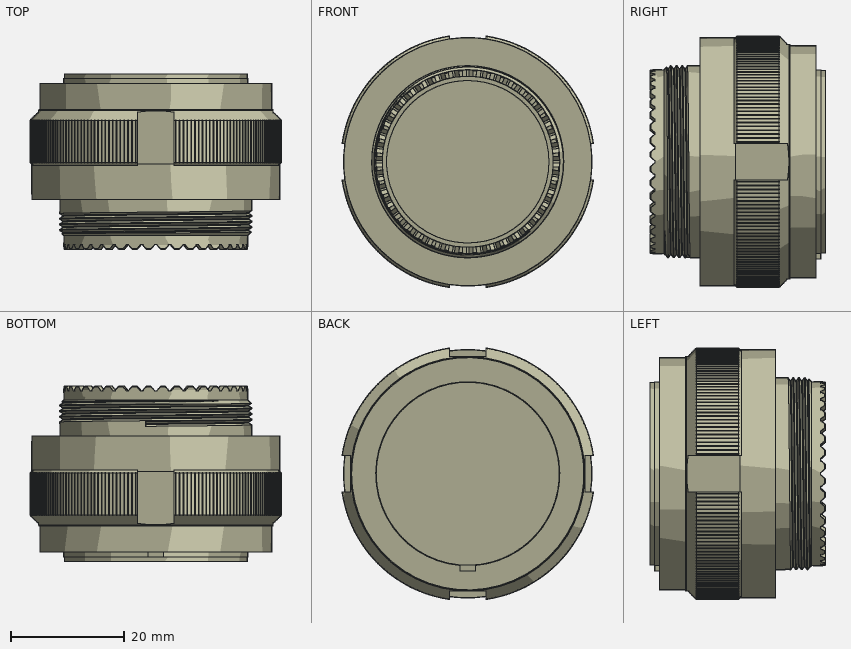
import cadquery as cq
import math


nose_radius = 16.25
nose_chamfer = 0.18
tooth_inner_radius = 15.1
recess_depth = 2.0
disc_radius = 14.35
tooth_count = 40
tooth_depth = 0.85
tooth_gap_at_tip = 1.85
tooth_gap_at_root = 0.35

neck_radius = 16.98
thread_front = 2.45
thread_back = 6.7
thread_pitch = 1.0
thread_depth = 0.5
thread_gap_at_crest = 0.85
thread_gap_at_root = 0.18

sleeve_front = 8.8
sleeve_radius = 21.95
knurl_front = 15.38
knurl_back = 22.85
flat_front = 15.15
flat_count = 4
flat_width = 6.45
flat_distance = 20.75
overall_width = 44.45
lip_radius = 20.7
lip_back = 24.75

collar_radius = 20.55
collar_back = 29.37
disc_step = 30.2
overall_length = 31.0
base_disc_radius = 16.25
end_disc_radius = 16.18
key_width = 2.65
key_reach = 17.2

knurl_count = 200
knurl_groove_width = 0.15
knurl_groove_depth = 0.1

nut_radius = math.hypot(overall_width / 2, flat_width / 2)


def turned(profile):
    """Revolve a closed (radius, y) profile about the Y axis."""
    return cq.Workplane("XY").polyline(profile).close().revolve(360, (0, 0, 0), (0, 1, 0))


def cylinder(radius, front, back):
    """Solid cylinder along Y."""
    return cq.Workplane("XZ", origin=(0, front, 0)).circle(radius).extrude(front - back)


def make_nose():
    """Front spigot with a ring of crown teeth around a slightly sunk central disc."""
    nose = cylinder(nose_radius, 0, sleeve_front).faces("<Y").chamfer(nose_chamfer)
    nose = nose.cut(cylinder(tooth_inner_radius, 0, recess_depth))
    nose = nose.union(cylinder(disc_radius, tooth_depth, sleeve_front))
    gap = (
        cq.Workplane("XY", origin=(0, 0, disc_radius))
        .polyline([
            (-tooth_gap_at_tip / 2, 0),
            (-tooth_gap_at_root / 2, tooth_depth),
            (tooth_gap_at_root / 2, tooth_depth),
            (tooth_gap_at_tip / 2, 0),
        ])
        .close()
        .extrude(neck_radius - disc_radius)
    )
    ring = cylinder(neck_radius, 0, tooth_depth).cut(cylinder(tooth_inner_radius, 0, tooth_depth))
    gap = gap.intersect(ring).val()
    gaps = [
        gap.rotate((0, 0, 0), (0, 1, 0), index * 360 / tooth_count)
        for index in range(tooth_count)
    ]
    return nose.cut(cq.Workplane(obj=cq.Compound.makeCompound(gaps)))


def make_neck():
    """Neck with a right-handed thread and a bevelled front edge."""
    bevel = neck_radius - nose_radius
    neck = turned([
        (0, thread_front),
        (nose_radius, thread_front),
        (neck_radius, thread_front + bevel),
        (neck_radius, sleeve_front),
        (0, sleeve_front),
    ])
    helix_start = thread_front - thread_pitch
    helix = cq.Wire.makeHelix(thread_pitch, thread_back - helix_start, neck_radius)
    overlap = 0.1
    flank_slope = (thread_gap_at_crest - thread_gap_at_root) / 2 / thread_depth
    outer_half_gap = thread_gap_at_crest / 2 + overlap * flank_slope
    cutter = (
        cq.Workplane("XZ")
        .polyline([
            (neck_radius - thread_depth, -thread_gap_at_root / 2),
            (neck_radius - thread_depth, thread_gap_at_root / 2),
            (neck_radius + overlap, outer_half_gap),
            (neck_radius + overlap, -outer_half_gap),
        ])
        .close()
        .sweep(cq.Workplane(obj=helix), isFrenet=True)
        .rotate((0, 0, 0), (1, 0, 0), -90)
        .translate((0, helix_start, 0))
    )
    return neck.cut(cutter)


def knurled_bar():
    """Bar along Y with the nut's radius and V grooves all around it."""
    pitch = 2 * math.pi / knurl_count
    half_groove = knurl_groove_width / 2 / nut_radius

    def at(radius, angle):
        return (radius * math.cos(angle), radius * math.sin(angle))

    outline = cq.Workplane("XZ", origin=(0, sleeve_front, 0)).moveTo(*at(nut_radius, -half_groove))
    for index in range(knurl_count):
        angle = index * pitch
        outline = outline.lineTo(*at(nut_radius - knurl_groove_depth, angle))
        outline = outline.lineTo(*at(nut_radius, angle + half_groove))
        outline = outline.threePointArc(
            at(nut_radius, angle + pitch / 2), at(nut_radius, angle + pitch - half_groove)
        )
    return outline.close().extrude(sleeve_front - collar_back)


def make_nut():
    """Knurled coupling nut with 45 degree shoulders and four flats."""
    nut_front = knurl_front - (nut_radius - sleeve_radius)
    cone_back = knurl_back + (nut_radius - lip_radius)
    nut = turned([
        (0, nut_front),
        (sleeve_radius, nut_front),
        (nut_radius, knurl_front),
        (nut_radius, knurl_back),
        (lip_radius, cone_back),
        (lip_radius, lip_back),
        (0, lip_back),
    ])
    nut = nut.intersect(knurled_bar())
    for index in range(flat_count):
        flat = (
            cq.Workplane("XY")
            .box(flat_width, lip_back - sleeve_front, nut_radius, centered=(True, False, False))
            .translate((0, sleeve_front, flat_distance))
            .rotate((0, 0, 0), (0, 1, 0), index * 360 / flat_count)
        )
        nut = nut.cut(flat)
    return nut


def make_rear():
    """Rear collar and stepped end disc with a locating key at the bottom."""
    key = (
        cq.Workplane("XY")
        .box(key_width, disc_step - collar_back, key_reach, centered=(True, False, False))
        .translate((0, collar_back, -key_reach))
    )
    return (
        cylinder(collar_radius, knurl_back, collar_back)
        .union(cylinder(base_disc_radius, collar_back, disc_step))
        .union(cylinder(end_disc_radius, disc_step, overall_length))
        .union(key)
    )


sleeve = cylinder(sleeve_radius, sleeve_front, flat_front)
result = make_nose().union(make_neck()).union(sleeve).union(make_nut()).union(make_rear())